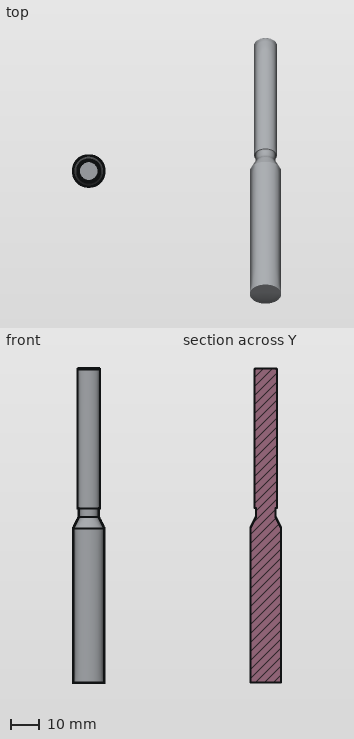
import cadquery as cq

total_length = 110.0

shank_diameter = 11.0
shank_length = 54.0

cone_length = 4.0

neck_diameter = 7.0
neck_length = 3.0

pin_diameter = 8.0
tip_chamfer = 0.5

shank_radius = shank_diameter / 2
neck_radius = neck_diameter / 2
pin_radius = pin_diameter / 2

cone_top = shank_length + cone_length
pin_bottom = cone_top + neck_length


def turned_body():
    """Revolve the half-profile (radius, height) around the Z axis."""
    half_profile = (
        cq.Workplane("XZ")
        .moveTo(0, 0)
        .lineTo(shank_radius, 0)
        .lineTo(shank_radius, shank_length)
        .lineTo(neck_radius, cone_top)
        .lineTo(neck_radius, pin_bottom)
        .lineTo(pin_radius, pin_bottom)
        .lineTo(pin_radius, total_length - tip_chamfer)
        .lineTo(pin_radius - tip_chamfer, total_length)
        .lineTo(0, total_length)
        .close()
    )
    return half_profile.revolve(360, (0, 0, 0), (0, 1, 0))


result = turned_body()